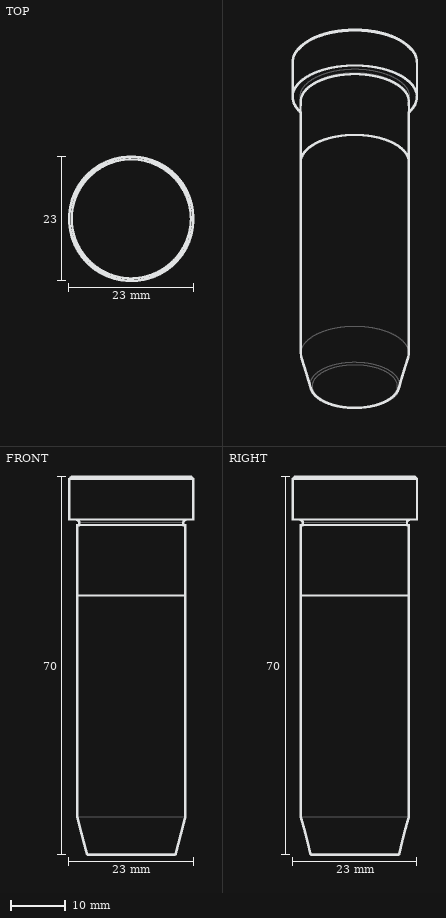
import cadquery as cq
import math

total_length = 70.0
head_diameter = 23.0
head_height = 8.0
head_chamfer = 0.5
shank_diameter = 20.0
collar_depth = 22.0
groove_width = 1.0
groove_depth = 0.35
groove_fillet = 0.5
nose_length = 7.0
nose_end_radius = 8.2
nose_edge_fillet = 0.4

head_radius = head_diameter / 2
shank_radius = shank_diameter / 2
groove_radius = shank_radius - groove_depth
head_bottom = total_length - head_height
groove_bottom = head_bottom - groove_width
joint_height = total_length - collar_depth


def make_headed_section():
    """Head, undercut groove and upper shank, turned about Z."""
    fillet_mid = groove_fillet * (1 - math.sqrt(0.5))
    profile = (
        cq.Workplane("XZ")
        .moveTo(0, joint_height)
        .lineTo(shank_radius, joint_height)
        .lineTo(shank_radius, groove_bottom)
        .lineTo(groove_radius, groove_bottom)
        .lineTo(groove_radius, head_bottom - groove_fillet)
        .threePointArc(
            (groove_radius + fillet_mid, head_bottom - fillet_mid),
            (groove_radius + groove_fillet, head_bottom),
        )
        .lineTo(head_radius, head_bottom)
        .lineTo(head_radius, total_length - head_chamfer)
        .lineTo(head_radius - head_chamfer, total_length)
        .lineTo(0, total_length)
        .close()
    )
    return profile.revolve(360, (0, 0, 0), (0, 1, 0))


def make_guide_section():
    """Lower shank ending in a tapered nose with a rounded end edge."""
    profile = (
        cq.Workplane("XZ")
        .lineTo(nose_end_radius, 0)
        .lineTo(shank_radius, nose_length)
        .lineTo(shank_radius, joint_height)
        .lineTo(0, joint_height)
        .close()
    )
    body = profile.revolve(360, (0, 0, 0), (0, 1, 0))
    return body.faces("<Z").edges().fillet(nose_edge_fillet)


headed_section = make_headed_section()
guide_section = make_guide_section()

result = cq.Compound.makeCompound([headed_section.val(), guide_section.val()])